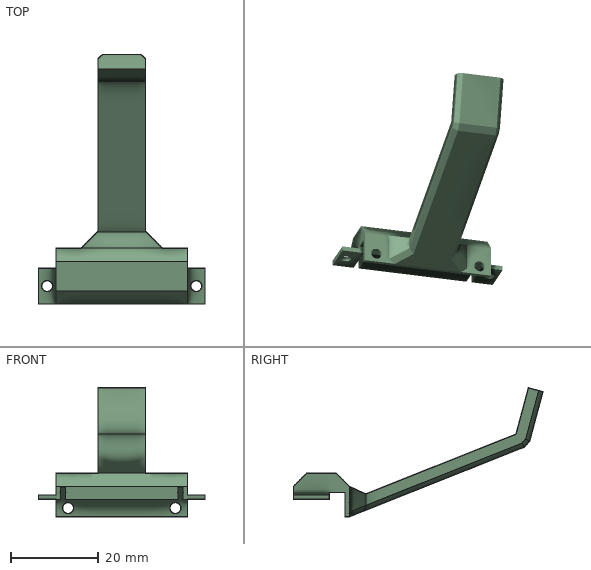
import cadquery as cq
import math

block_width = 30.05
block_depth = 12.8
block_height = 10.0
block_chamfer = 3.0
sheet = 1.0
underside = 4.0
relief_top = 5.55
wall_front = block_depth - sheet

ear_span = 38.1
ear_depth = 8.2
slot_width = 1.2
slot_top = 6.8
slot_center = block_width / 2 - sheet - slot_width / 2

hole_diameter = 2.45
wall_hole_x = 12.25
wall_hole_z = 2.0
ear_hole_x = (ear_span + block_width) / 4
ear_hole_y = ear_depth / 2

arm_width = 10.95
arm_thickness = 3.5
arm_slope = math.radians(21.7)
tip_lean = math.radians(15)
total_depth = 57.05
total_height = 29.5
edge_chamfer = 1.0

gusset_width = 18.6
gusset_top = block_height - block_chamfer
gusset_drop = math.radians(25)


def box(x_size, y_range, z_range, x_center=0.0):
    """Box centred on x_center and spanning the given Y and Z ranges."""
    y_size = y_range[1] - y_range[0]
    z_size = z_range[1] - z_range[0]
    solid = cq.Workplane("XY").box(x_size, y_size, z_size, centered=(True, False, False))
    return solid.translate((x_center, y_range[0], z_range[0]))


def side_profile(points, width):
    """Extrude a (Y, Z) outline symmetrically about X = 0."""
    return cq.Workplane("YZ").polyline(points).close().extrude(width / 2, both=True)


def make_housing():
    outline = [
        (0, underside),
        (0, block_height - block_chamfer),
        (block_chamfer, block_height),
        (block_depth - block_chamfer, block_height),
        (block_depth, block_height - block_chamfer),
        (block_depth, 0),
        (wall_front, 0),
        (wall_front, relief_top),
        (ear_depth, relief_top),
        (ear_depth, underside),
    ]
    housing = side_profile(outline, block_width)
    ears = box(ear_span, (0, ear_depth), (underside, underside + sheet))
    housing = housing.union(ears)
    for side in (-1, 1):
        slot = box(slot_width, (0, wall_front), (underside, slot_top), side * slot_center)
        housing = housing.cut(slot)
    return housing


def bend_point(tip, start_z):
    """(Y, Z) where a tip face through tip meets an arm face that leaves the wall at start_z."""
    slope = math.tan(arm_slope)
    lean = math.tan(tip_lean)
    height_at_origin = start_z - slope * block_depth
    y = (tip[0] + lean * (height_at_origin - tip[1])) / (1 - lean * slope)
    return (y, height_at_origin + slope * y)


tip_inner = (total_depth - arm_thickness * math.cos(tip_lean), total_height)
tip_outer = (total_depth, total_height - arm_thickness * math.sin(tip_lean))
arm_top_at_wall = arm_thickness / math.cos(arm_slope)
inner_bend = bend_point(tip_inner, arm_top_at_wall)
outer_bend = bend_point(tip_outer, 0)


def make_arm():
    """Sloped arm with an upturned tip and a chamfer along the outer bend."""
    outline = [
        (block_depth, 0),
        outer_bend,
        tip_outer,
        tip_inner,
        inner_bend,
        (block_depth, arm_top_at_wall),
    ]
    bend_edge = cq.selectors.NearestToPointSelector((0, *outer_bend))
    return side_profile(outline, arm_width).edges(bend_edge).chamfer(edge_chamfer)


def make_gusset():
    """Wedge that narrows at 45 degrees from the wall to the arm width."""
    length = (gusset_width - arm_width) / 2
    end_y = block_depth + length
    outline = [
        (block_depth, 0),
        (end_y, length * math.tan(arm_slope)),
        (end_y, gusset_top - length * math.tan(gusset_drop)),
        (block_depth, gusset_top),
    ]
    plan = [
        (-gusset_width / 2, block_depth),
        (gusset_width / 2, block_depth),
        (arm_width / 2, end_y),
        (-arm_width / 2, end_y),
    ]
    taper = cq.Workplane("XY").polyline(plan).close().extrude(block_height)
    return side_profile(outline, gusset_width).intersect(taper)


def drill_holes(part):
    for side in (-1, 1):
        wall_hole = (
            cq.Workplane("XZ", origin=(side * wall_hole_x, block_depth, wall_hole_z))
            .circle(hole_diameter / 2)
            .extrude(sheet)
        )
        ear_hole = (
            cq.Workplane("XY", origin=(side * ear_hole_x, ear_hole_y, underside))
            .circle(hole_diameter / 2)
            .extrude(sheet)
        )
        part = part.cut(wall_hole).cut(ear_hole)
    return part


def make_support():
    """Arm and gusset joined, with their outer side edges chamfered."""
    support = make_arm().union(make_gusset())
    tolerance = 0.005

    def on_outer_side(edge):
        middle = edge.Center()
        on_side = abs(middle.x) > arm_width / 2 - tolerance
        arm_face_z = (middle.y - block_depth) * math.tan(arm_slope)
        on_arm = abs(middle.z - arm_face_z) < tolerance
        tip_face_y = total_depth - (tip_outer[1] - middle.z) * math.tan(tip_lean)
        on_tip = abs(middle.y - tip_face_y) < tolerance
        on_bend = math.dist((middle.y, middle.z), outer_bend) < edge_chamfer
        return on_side and (on_arm or on_tip or on_bend)

    edges = support.edges().filter(on_outer_side)
    return support.newObject(edges.vals()).chamfer(edge_chamfer)


result = drill_holes(make_housing().union(make_support()))